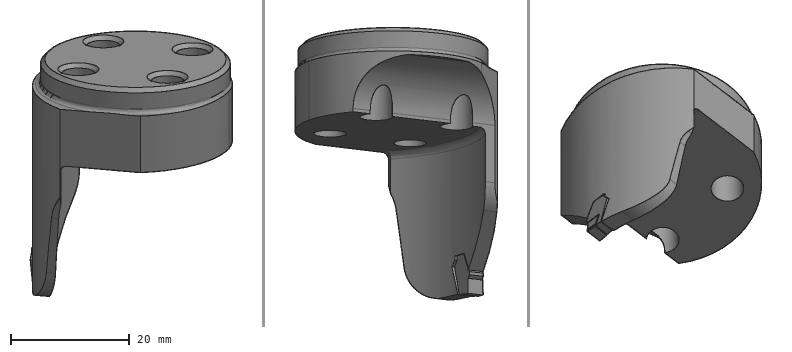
import cadquery as cq
import math


collar_radius = 16.0
collar_chamfer = 0.75
root_fillet = 0.8
ledge_z = -4.43

hole_diameter = 5.5
hole_pitch = 15.6
hole_chamfer = 0.7

body_radius = 16.3
flat_y = -16.5
flat_left_x = -8.6
flat_right_x = 5.5
outer_radius = 20.0
outer_left_x = -17.25
outer_center_x = outer_left_x + outer_radius
corner_y = 8.77
tangent_angle = 126.0
right_blend_radius = 18.0

slab_bottom_z = -14.45
blade_bottom_z = -40.65
blade_inner_x = -14.35
blade_inner_radius = 24.6
inner_fillet = 1.15

back_y = 9.5
scoop_radius = 10.0
scoop_end_z = -13.85
back_bend_z = -26.32
relief_start_z = -20.05
relief_top = (-15.2, -22.75)
relief_taper = 6.7
large_radius = 10.0
toe_radius = 7.0
profile_margin = 2.05

insert_face_x = -17.18
insert_back_x = -14.47
tip_face_x = -17.35
tip_point_x = -17.45
insert_top_z = -33.9
insert_bottom_z = -40.75
tip_top_z = -38.4
tip_inner_corner = (-2.45, -38.62)
tip_lip_z = -40.5
tip_bottom_z = -41.0
tip_heel = (-1.5, -40.9)
insert_nose_y = 0.15
insert_shoulder = (0.4, -37.02)


def outer_x(y):
    """X of the outer blade wall at a given Y."""
    return outer_center_x - math.sqrt(outer_radius**2 - y**2)


def on_body_circle(angle):
    """Point of the slab circle at an angle in degrees."""
    a = math.radians(angle)
    return (body_radius * math.cos(a), body_radius * math.sin(a))


def make_plan_prism():
    """Plan outline of slab and blade together, at full height."""
    return (
        cq.Workplane("XY", origin=(0, 0, blade_bottom_z))
        .moveTo(flat_left_x, flat_y)
        .lineTo(flat_right_x, flat_y)
        .radiusArc(on_body_circle(0), -right_blend_radius)
        .threePointArc(on_body_circle(45), on_body_circle(tangent_angle))
        .lineTo(outer_x(corner_y), corner_y)
        .threePointArc((outer_left_x, 0), (outer_x(flat_y), flat_y))
        .close()
        .extrude(ledge_z - blade_bottom_z)
    )


def make_side_prism():
    """Side outline in the YZ plane, swept across the whole width."""
    half_width = body_radius + profile_margin
    scoop_center_y = back_y + scoop_radius
    scoop_top_y = body_radius
    scoop_rise = math.sqrt(scoop_radius**2 - (scoop_center_y - scoop_top_y) ** 2)
    scoop_mid_angle = math.radians(35)
    scoop_mid = (
        scoop_center_y - scoop_radius * math.cos(scoop_mid_angle),
        scoop_end_z + scoop_radius * math.sin(scoop_mid_angle),
    )
    taper = math.tan(math.radians(relief_taper))
    toe_y = relief_top[0] + taper * (relief_top[1] - blade_bottom_z)
    prism = (
        cq.Workplane("YZ", origin=(-half_width, 0, 0))
        .moveTo(flat_y, ledge_z)
        .lineTo(flat_y, relief_start_z)
        .lineTo(*relief_top)
        .lineTo(toe_y, blade_bottom_z)
        .lineTo(insert_nose_y, blade_bottom_z)
        .lineTo(insert_nose_y, tip_top_z)
        .lineTo(*insert_shoulder)
        .lineTo(back_y, back_bend_z)
        .lineTo(back_y, scoop_end_z)
        .threePointArc(scoop_mid, (scoop_top_y, scoop_end_z + scoop_rise))
        .lineTo(scoop_top_y, ledge_z)
        .close()
        .extrude(2 * half_width)
    )

    bends = [
        (relief_top, large_radius),
        ((toe_y, blade_bottom_z), toe_radius),
        ((back_y, back_bend_z), toe_radius),
    ]
    for (y, z), radius in bends:
        corner = cq.selectors.NearestToPointSelector((0, y, z))
        prism = prism.edges("|X").edges(corner).fillet(radius)
    return prism


def make_underside_cutter():
    """Space below the slab: a large cylinder, opened to the right of the blade end."""
    bottom_z = blade_bottom_z - profile_margin
    height = slab_bottom_z - bottom_z
    center_x = blade_inner_x + blade_inner_radius
    side = 2 * blade_inner_radius
    cylinder = (
        cq.Workplane("XY", origin=(center_x, 0, bottom_z))
        .circle(blade_inner_radius)
        .extrude(height)
    )
    block = (
        cq.Workplane("XY", origin=(flat_left_x + side / 2, 0, bottom_z))
        .rect(side, side)
        .extrude(height)
    )
    return cylinder.union(block).faces(">Z").edges().fillet(inner_fillet)


def make_collar():
    """Round collar that flares into the ledge; it reaches into the slab."""
    overlap = 0.4
    flare_radius = collar_radius + root_fillet
    flare_mid = root_fillet * (1 - math.sqrt(0.5))
    return (
        cq.Workplane("XZ")
        .lineTo(collar_radius - collar_chamfer, 0)
        .lineTo(collar_radius, -collar_chamfer)
        .lineTo(collar_radius, ledge_z + root_fillet)
        .threePointArc((collar_radius + flare_mid, ledge_z + flare_mid), (flare_radius, ledge_z))
        .lineTo(flare_radius, ledge_z - overlap)
        .lineTo(0, ledge_z - overlap)
        .close()
        .revolve(360, (0, 0, 0), (0, 1, 0))
    )


def make_hole_cutter():
    """Through hole with a conical entry at the mounting face."""
    radius = hole_diameter / 2
    return (
        cq.Workplane("XZ")
        .lineTo(radius + hole_chamfer, 0)
        .lineTo(radius, -hole_chamfer)
        .lineTo(radius, blade_bottom_z)
        .lineTo(0, blade_bottom_z)
        .close()
        .revolve(360, (0, 0, 0), (0, 1, 0))
    )


def insert_plate(back_x, front_x):
    """Flat insert plate between two X planes."""
    return (
        cq.Workplane("YZ", origin=(back_x, 0, 0))
        .polyline([
            (-1.1, insert_top_z),
            (-3.6, insert_top_z),
            (-3.6, -34.7),
            (-4.4, -35.65),
            (-2.8, insert_bottom_z),
            (insert_nose_y, insert_bottom_z),
            (insert_nose_y, tip_top_z),
            (0.65, -37.9),
            (0.65, -37.35),
            insert_shoulder,
        ])
        .close()
        .extrude(front_x - back_x)
    )


def make_insert():
    """Cutting insert: plate with a thicker cutting tip and a pointed lip."""
    tip = (
        cq.Workplane("YZ", origin=(insert_back_x, 0, 0))
        .polyline([
            (insert_nose_y, tip_top_z),
            tip_inner_corner,
            tip_heel,
            (insert_nose_y, tip_bottom_z),
        ])
        .close()
        .extrude(tip_face_x - insert_back_x)
    )
    lip = (
        cq.Workplane("XY", origin=(0, 0, tip_heel[1]))
        .moveTo(insert_back_x, insert_nose_y)
        .lineTo(tip_point_x, insert_nose_y)
        .lineTo(tip_face_x, tip_heel[0])
        .lineTo(insert_back_x, tip_heel[0])
        .close()
        .extrude(tip_lip_z - tip_heel[1])
    )
    return insert_plate(insert_back_x, insert_face_x).union(tip).union(lip)


def make_holder(insert):
    """Tool head with its collar, screw holes and the pocket for the insert."""
    plan = make_plan_prism()
    holder = plan.intersect(make_side_prism()).cut(make_underside_cutter())
    flare_bound = plan.translate((0, 0, -ledge_z))
    holder = holder.union(make_collar().intersect(flare_bound))
    cutter = make_hole_cutter()
    for x in (-hole_pitch / 2, hole_pitch / 2):
        for y in (-hole_pitch / 2, hole_pitch / 2):
            holder = holder.cut(cutter.translate((x, y, 0)))
    pocket = insert_plate(blade_inner_x + profile_margin, outer_left_x - profile_margin)
    return holder.cut(pocket).cut(insert)


insert = make_insert()
holder = make_holder(insert)

result = cq.Compound.makeCompound([holder.solids().val(), insert.solids().val()])